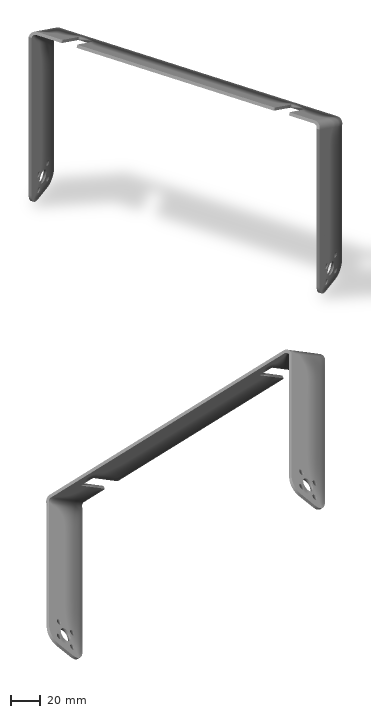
import cadquery as cq
import math

length = 221.8
depth = 37.0
height = 153.7

thickness = 2.2
bend_radius = 5.0
tilt = 32.0

slot_width = 11.0
slot_inset = 30.0
slot_depth = 30.0
slot_corner_radius = 1.0

leg_corner_radius = 10.0
centre_hole_diameter = 10.0
small_hole_diameter = 4.2
small_hole_spacing = 13.8
hole_height = 14.5
hole_offset = 0.2

sine = math.sin(math.radians(tilt))
cosine = math.cos(math.radians(tilt))
leg_width = depth - bend_radius * sine
plate_run = leg_width / cosine
bend_start_front = height - bend_radius * cosine
bend_start_back = bend_start_front - plate_run * sine
half_length = length / 2
slot_centre = half_length - slot_inset

plate_plane = cq.Plane(
    origin=(0, bend_radius * sine, height),
    xDir=(1, 0, 0),
    normal=(0, sine, cosine),
)


def make_leg(left_x):
    """Flat leg with a sloping top, rounded lower corners and five holes; left_x is its -X face."""
    blank = (
        cq.Workplane("YZ", origin=(left_x, 0, 0))
        .polyline([(0, 0), (leg_width, 0), (leg_width, bend_start_back), (0, bend_start_front)])
        .close()
        .extrude(thickness)
        .edges("|X and <Z")
        .fillet(leg_corner_radius)
    )
    holes = cq.Workplane("YZ", origin=(left_x, leg_width / 2 + hole_offset, hole_height))
    centre_hole = holes.circle(centre_hole_diameter / 2).extrude(thickness)
    small_holes = (
        holes.rect(small_hole_spacing, small_hole_spacing, forConstruction=True)
        .vertices()
        .circle(small_hole_diameter / 2)
        .extrude(thickness)
    )
    return blank.cut(centre_hole).cut(small_holes)


def make_slot(centre_x):
    """Slot cutter with rounded blind-end corners and a mouth flared by the rounded front corners."""
    half_width = slot_width / 2
    inner_half = half_width - slot_corner_radius
    mouth_half = half_width + slot_corner_radius
    corner_y = slot_depth - slot_corner_radius
    return (
        cq.Workplane("XY")
        .center(centre_x, 0)
        .moveTo(-mouth_half, 0)
        .radiusArc((-half_width, slot_corner_radius), -slot_corner_radius)
        .lineTo(-half_width, corner_y)
        .radiusArc((-inner_half, slot_depth), slot_corner_radius)
        .lineTo(inner_half, slot_depth)
        .radiusArc((half_width, corner_y), slot_corner_radius)
        .lineTo(half_width, slot_corner_radius)
        .radiusArc((mouth_half, 0), -slot_corner_radius)
        .close()
        .extrude(-thickness)
    )


def make_bent_top():
    """Top plate with a quarter-round bend at each end, extruded down the slope."""
    inner_radius = bend_radius - thickness
    inner_half = half_length - thickness
    flat_half = half_length - bend_radius
    bent = (
        cq.Workplane("XZ")
        .moveTo(-half_length, -bend_radius)
        .radiusArc((-flat_half, 0), bend_radius)
        .lineTo(flat_half, 0)
        .radiusArc((half_length, -bend_radius), bend_radius)
        .lineTo(inner_half, -bend_radius)
        .radiusArc((flat_half, -thickness), -inner_radius)
        .lineTo(-flat_half, -thickness)
        .radiusArc((-inner_half, -bend_radius), -inner_radius)
        .close()
        .extrude(-plate_run)
    )
    for side in (-1, 1):
        bent = bent.cut(make_slot(side * slot_centre))
    return cq.Workplane(obj=bent.val().moved(cq.Location(plate_plane)))


result = make_bent_top()
for left_x in (-half_length, half_length - thickness):
    result = result.union(make_leg(left_x))